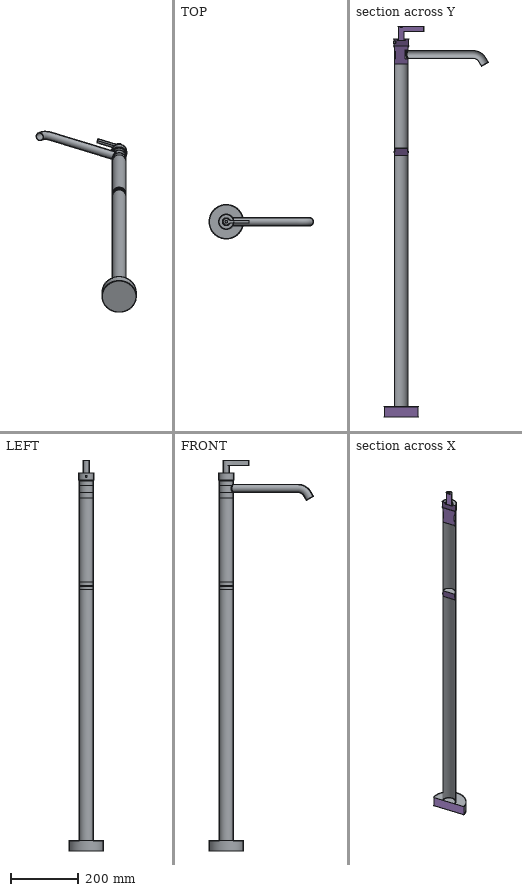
import cadquery as cq
import math

COLUMN_DIAMETER = 42.0
TUBE_WALL = 1.4
BORE_DIAMETER = COLUMN_DIAMETER - 2 * TUBE_WALL
JOINT_HEIGHT = 792.0
RIM_THICKNESS = 3.0
PLUG_REACH = 9.0
COLUMN_TOP = 1103.0

BASE_DIAMETER = 103.0
BASE_HEIGHT = 31.0
BASE_CHAMFER = 1.0

INSERT_BOTTOM = 1052.0
GROOVE_BOTTOM = 1068.0
GROOVE_TOP = 1089.0
GROOVE_DEPTH = 1.0

COLLAR_DIAMETER = 45.0
COLLAR_CHAMFER = 1.0
COLLAR_BOTTOM = COLUMN_TOP + RIM_THICKNESS
COLLAR_TOP = 1128.0
COLLAR_HOLE_DIAMETER = 6.0
COLLAR_HOLE_DEPTH = 6.0
STEM_RECESS_DIAMETER = 23.0
STEM_RECESS_DEPTH = 5.0
STEM_SEAT_HEIGHT = COLLAR_TOP - STEM_RECESS_DEPTH

LEVER_TOP = 1165.0
STEM_DIAMETER = 19.0
STEM_RADIUS = STEM_DIAMETER / 2
DIMPLE_DIAMETER = 7.0
DIMPLE_DEPTH = 2.0
ARM_WIDTH = 7.0
ARM_HEIGHT = 16.0
ARM_REACH = 68.0
ARM_BLEND_RADIUS = 23.0

SPOUT_DIAMETER = 25.0
SPOUT_WALL = 1.0
SPOUT_HEIGHT = 1081.0
SPOUT_START = 12.0
SPOUT_BEND_START = 213.0
SPOUT_BEND_RADIUS = 33.0
SPOUT_BEND_ANGLE = math.radians(60)
OUTLET_LENGTH = 15.0


def cylinder(diameter, bottom, top):
    """Upright cylinder on the column axis."""
    return cq.Workplane("XY", origin=(0, 0, bottom)).circle(diameter / 2).extrude(top - bottom)


def make_base():
    """Round foot with its lower edge chamfered."""
    return cylinder(BASE_DIAMETER, 0, BASE_HEIGHT).faces("<Z").edges().chamfer(BASE_CHAMFER)


def make_tube(bottom, top):
    """One thin-walled length of the column."""
    return cylinder(COLUMN_DIAMETER, bottom, top).cut(cylinder(BORE_DIAMETER, bottom, top))


def make_joint_plug():
    """Plug that fills the ends of both tubes, with a rim flush with them in the joint."""
    rim_bottom = JOINT_HEIGHT - RIM_THICKNESS
    plug = cylinder(BORE_DIAMETER, rim_bottom - PLUG_REACH, JOINT_HEIGHT + PLUG_REACH)
    return plug.union(cylinder(COLUMN_DIAMETER, rim_bottom, JOINT_HEIGHT))


def make_insert(spout_outside):
    """Insert with a shallow groove inside the tube, a rim under the collar and the spout socket."""
    insert = cylinder(BORE_DIAMETER, INSERT_BOTTOM, COLLAR_BOTTOM)
    insert = insert.union(cylinder(COLUMN_DIAMETER, COLUMN_TOP, COLLAR_BOTTOM))
    groove_floor = cylinder(BORE_DIAMETER - 2 * GROOVE_DEPTH, GROOVE_BOTTOM, GROOVE_TOP)
    groove = cylinder(BORE_DIAMETER, GROOVE_BOTTOM, GROOVE_TOP).cut(groove_floor)
    return insert.cut(groove).cut(spout_outside)


def make_collar():
    """Collar with a round recess for the lever stem and a blind hole facing -X at half its height."""
    middle = (COLLAR_BOTTOM + COLLAR_TOP) / 2
    hole = (
        cq.Workplane("YZ", origin=(-COLLAR_DIAMETER / 2, 0, middle))
        .circle(COLLAR_HOLE_DIAMETER / 2)
        .extrude(COLLAR_HOLE_DEPTH)
    )
    recess = cylinder(STEM_RECESS_DIAMETER, STEM_SEAT_HEIGHT, COLLAR_TOP)
    collar = cylinder(COLLAR_DIAMETER, COLLAR_BOTTOM, COLLAR_TOP).faces(">Z").edges().chamfer(COLLAR_CHAMFER)
    return collar.cut(recess).cut(hole)


def make_lever():
    """Dimpled round stem and flat arm, blended by an arc on each side that is tangent to both."""
    stem = cylinder(STEM_DIAMETER, STEM_SEAT_HEIGHT, LEVER_TOP)
    half_width = ARM_WIDTH / 2
    centre_distance = STEM_RADIUS + ARM_BLEND_RADIUS
    centre_y = half_width + ARM_BLEND_RADIUS
    centre_x = math.sqrt(centre_distance**2 - centre_y**2)
    stem_x = centre_x * STEM_RADIUS / centre_distance
    stem_y = centre_y * STEM_RADIUS / centre_distance
    middle_angle = (math.atan2(-centre_y, -centre_x) - math.pi / 2) / 2
    middle_x = centre_x + ARM_BLEND_RADIUS * math.cos(middle_angle)
    middle_y = centre_y + ARM_BLEND_RADIUS * math.sin(middle_angle)
    arm = (
        cq.Workplane("XY", origin=(0, 0, LEVER_TOP - ARM_HEIGHT))
        .lineTo(stem_x, stem_y)
        .threePointArc((middle_x, middle_y), (centre_x, half_width))
        .lineTo(ARM_REACH, half_width)
        .lineTo(ARM_REACH, -half_width)
        .lineTo(centre_x, -half_width)
        .threePointArc((middle_x, -middle_y), (stem_x, -stem_y))
        .close()
        .extrude(ARM_HEIGHT)
    )
    dimple = cylinder(DIMPLE_DIAMETER, LEVER_TOP - DIMPLE_DEPTH, LEVER_TOP)
    return stem.union(arm).cut(dimple)


def spout_bend_point(angle):
    """Point (x, z) on the centre line of the bend, turned down by the given angle."""
    x = SPOUT_BEND_START + SPOUT_BEND_RADIUS * math.sin(angle)
    z = SPOUT_HEIGHT - SPOUT_BEND_RADIUS * (1 - math.cos(angle))
    return x, z


def sweep_spout(diameter):
    """Solid disc section swept along the centre line of the spout."""
    bend_end_x, bend_end_z = spout_bend_point(SPOUT_BEND_ANGLE)
    tip_x = bend_end_x + OUTLET_LENGTH * math.cos(SPOUT_BEND_ANGLE)
    tip_z = bend_end_z - OUTLET_LENGTH * math.sin(SPOUT_BEND_ANGLE)
    centre_line = (
        cq.Workplane("XZ")
        .moveTo(SPOUT_START, SPOUT_HEIGHT)
        .lineTo(SPOUT_BEND_START, SPOUT_HEIGHT)
        .threePointArc(spout_bend_point(SPOUT_BEND_ANGLE / 2), (bend_end_x, bend_end_z))
        .lineTo(tip_x, tip_z)
    )
    section = cq.Workplane("YZ", origin=(SPOUT_START, 0, SPOUT_HEIGHT)).circle(diameter / 2)
    return section.sweep(centre_line)


base = make_base()
lower_tube = make_tube(BASE_HEIGHT, JOINT_HEIGHT - RIM_THICKNESS)
joint_plug = make_joint_plug()
spout_outside = sweep_spout(SPOUT_DIAMETER)
spout = spout_outside.cut(sweep_spout(SPOUT_DIAMETER - 2 * SPOUT_WALL))
upper_tube = make_tube(JOINT_HEIGHT, COLUMN_TOP).cut(spout_outside)
insert = make_insert(spout_outside)
collar = make_collar()
lever = make_lever()

result = cq.Compound.makeCompound(
    [
        base.val(),
        lower_tube.val(),
        joint_plug.val(),
        upper_tube.val(),
        insert.val(),
        collar.val(),
        lever.val(),
        spout.val(),
    ]
)